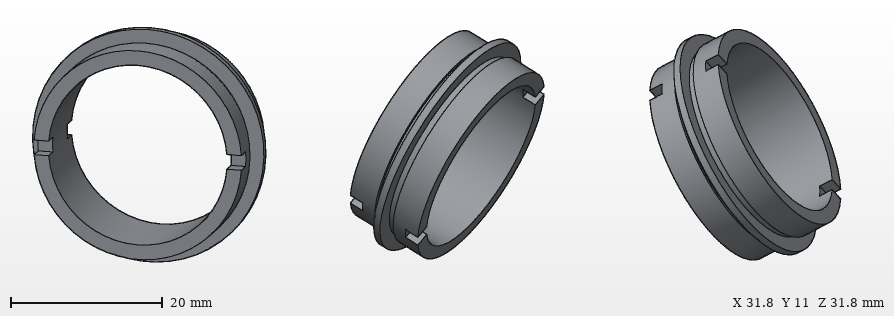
import cadquery as cq

flange_diameter = 31.75
body_diameter = 28.5
groove_diameter = 27.5
bore_diameter = 24.5

length = 11.0
body_length = 4.0
flange_width = 1.02

slot_width = 2.0
slot_depth = 2.0

flange_radius = flange_diameter / 2
body_radius = body_diameter / 2
groove_radius = groove_diameter / 2
bore_radius = bore_diameter / 2

end_y = length / 2
body_edge_y = end_y - body_length
flange_edge_y = flange_width / 2


def turned_ring():
    """Ring with a central flange and a groove on each side of it."""
    near_half = [
        (-end_y, body_radius),
        (-body_edge_y, body_radius),
        (-body_edge_y, groove_radius),
        (-flange_edge_y, groove_radius),
        (-flange_edge_y, flange_radius),
    ]
    far_half = [(-y, radius) for y, radius in reversed(near_half)]
    bore_edge = [(end_y, bore_radius), (-end_y, bore_radius)]
    section = cq.Workplane("YZ").polyline(near_half + far_half + bore_edge).close()
    return section.revolve(360, (0, 0, 0), (1, 0, 0))


def end_slot(side):
    """Slot across the full diameter, open at the -Y (side=-1) or +Y (side=1) end."""
    center_y = side * (end_y - slot_depth / 2)
    return cq.Workplane("XY").box(flange_diameter, slot_depth, slot_width).translate((0, center_y, 0))


result = turned_ring()
for side in (-1, 1):
    result = result.cut(end_slot(side))